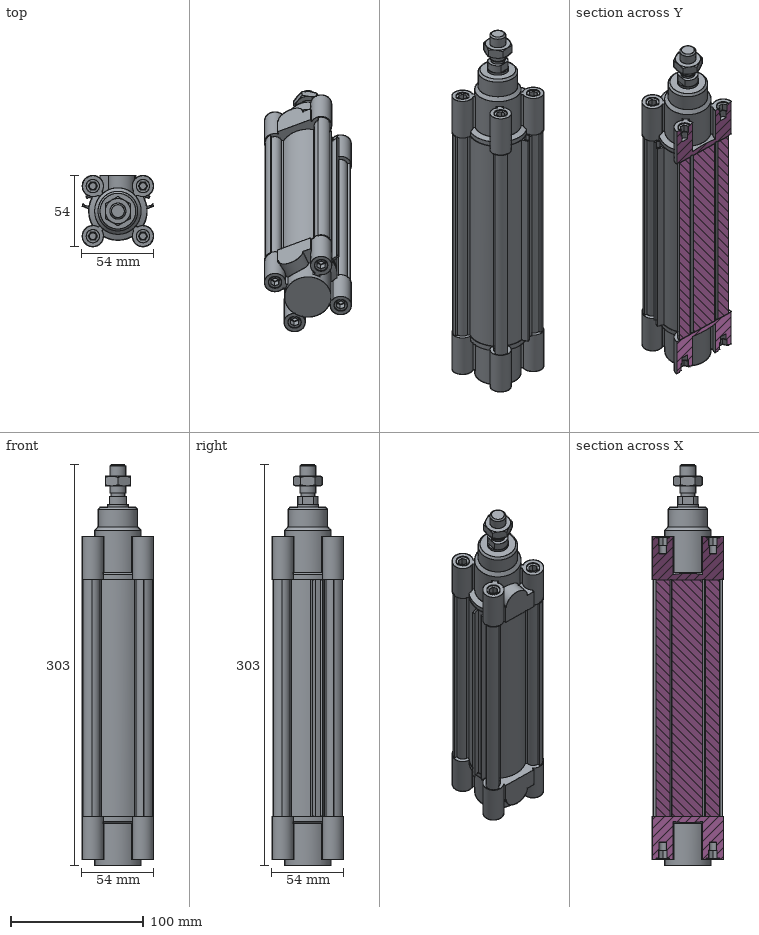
import cadquery as cq
import math

total_height = 303.0
width = 54.0
post_diameter = 16.0
post_offset = (width - post_diameter) / 2
post_axis_radius = post_offset * math.sqrt(2)

cover_length = 37.3
post_length = 32.7
boss_diameter = 35.0
flange_diameter = 44.2
flange_thickness = 4.0
flange_cone_height = 1.5
post_fillet_radius = 1.0

seat_diameter = 10.0
seat_depth = 1.0
socket_flats = 6.0
socket_depth = 6.0
screw_bore_diameter = 5.0
screw_bore_depth = 6.0

port_diameter = 20.0
port_offset = 2.7
port_axis_height = post_length / 2
port_foot_width = 27.3

collar_diameter = 30.0
collar_cone_height = 2.7
collar_length = 17.5
collar_chamfer_radial = 1.5
collar_chamfer_height = 1.8

barrel_bottom = cover_length
barrel_length = 178.8
barrel_top = barrel_bottom + barrel_length
barrel_diameter = 43.5
column_diameter = 10.5
cap_diameter = 14.8
cap_angle = 80.0
column_web_width = 8.0

rod_diameter = 16.0
rod_end_diameter = 15.5
rod_flats = 13.0
rod_end_bottom = 272.7
rod_shoulder = 279.0
neck_diameter = 10.5
neck_top = 281.5
thread_diameter = 12.0
thread_chamfer = 1.2

nut_flats = 19.0
nut_bottom = 287.0
nut_height = 7.3
nut_chamfer_angle = 30.0

corners = [(sx * post_offset, sy * post_offset) for sx in (-1, 1) for sy in (-1, 1)]


def cylinder(diameter, bottom, height):
    return cq.Workplane("XY").workplane(offset=bottom).circle(diameter / 2).extrude(height)


def make_post_joint():
    """Bridge along +X from the round boss to a post, with concave sides tangent to both."""
    reach_from_boss = boss_diameter / 2 + post_fillet_radius
    reach_from_post = post_diameter / 2 + post_fillet_radius
    fillet_x = (reach_from_boss**2 - reach_from_post**2 + post_axis_radius**2) / (2 * post_axis_radius)
    fillet_y = math.sqrt(reach_from_boss**2 - fillet_x**2)
    bridge = (
        cq.Workplane("XY")
        .box(post_axis_radius, 2 * fillet_y, post_length, centered=(False, True, False))
    )
    fillets = (
        cq.Workplane("XY")
        .pushPoints([(fillet_x, fillet_y), (fillet_x, -fillet_y)])
        .circle(post_fillet_radius)
        .extrude(post_length)
    )
    return bridge.cut(fillets)


def make_port_boss():
    """Round boss along Y on a flat-topped foot between the two +Y posts."""
    reach = width / 2
    foot = (
        cq.Workplane("XY")
        .box(port_foot_width, reach, port_axis_height, centered=(True, False, False))
    )
    boss = (
        cq.Workplane("XZ")
        .center(port_offset, port_axis_height)
        .circle(port_diameter / 2)
        .extrude(-reach)
    )
    return foot.union(boss)


def make_cover():
    """Cover with its seam at Z = 0, growing in +Z."""
    flange_radius = flange_diameter / 2
    boss_radius = boss_diameter / 2
    body = (
        cq.Workplane("XZ")
        .moveTo(0, 0)
        .lineTo(flange_radius, 0)
        .lineTo(flange_radius, flange_thickness)
        .lineTo(boss_radius, flange_thickness + flange_cone_height)
        .lineTo(boss_radius, cover_length)
        .lineTo(0, cover_length)
        .close()
        .revolve(360, (0, 0, 0), (0, 1, 0))
    )
    posts = cq.Workplane("XY").pushPoints(corners).circle(post_diameter / 2).extrude(post_length)
    seats = (
        cq.Workplane("XY")
        .workplane(offset=post_length - seat_depth)
        .pushPoints(corners)
        .circle(seat_diameter / 2)
        .extrude(seat_depth)
    )
    sockets = (
        cq.Workplane("XY")
        .workplane(offset=post_length - seat_depth - socket_depth)
        .pushPoints(corners)
        .polygon(6, socket_flats / math.cos(math.pi / 6))
        .extrude(socket_depth)
    )
    screw_bores = (
        cq.Workplane("XY")
        .workplane(offset=post_length - seat_depth - socket_depth - screw_bore_depth)
        .pushPoints(corners)
        .circle(screw_bore_diameter / 2)
        .extrude(screw_bore_depth)
    )
    cover = body.union(make_port_boss()).union(posts)
    post_joint = make_post_joint()
    for quarter in range(4):
        cover = cover.union(post_joint.rotate((0, 0, 0), (0, 0, 1), 45 + 90 * quarter))
    return cover.cut(seats).cut(sockets).cut(screw_bores)


def make_bottom_cover():
    return make_cover().mirror("XY").translate((0, 0, barrel_bottom))


def make_top_cover():
    boss_end = barrel_top + cover_length
    collar_end = boss_end + collar_length
    collar_radius = collar_diameter / 2
    collar = (
        cq.Workplane("XZ")
        .moveTo(0, boss_end)
        .lineTo(boss_diameter / 2, boss_end)
        .lineTo(collar_radius, boss_end + collar_cone_height)
        .lineTo(collar_radius, collar_end - collar_chamfer_height)
        .lineTo(collar_radius - collar_chamfer_radial, collar_end)
        .lineTo(0, collar_end)
        .close()
        .revolve(360, (0, 0, 0), (0, 1, 0))
    )
    rod_bore = cylinder(rod_diameter, barrel_top, collar_end - barrel_top)
    return make_cover().translate((0, 0, barrel_top)).union(collar).cut(rod_bore)


def make_diagonal_web(web_width, height):
    """Upright wall along the diagonal from the -X -Y corner axis to the +X +Y one."""
    wall = cq.Workplane("XY").box(2 * post_axis_radius, web_width, height, centered=(True, True, False))
    return wall.rotate((0, 0, 0), (0, 0, 1), 45)


def make_corner_column():
    """Column of the +X +Y corner: a round core and a wider sector on its outer side."""
    core = cylinder(column_diameter, 0, barrel_length)
    cap_radius = cap_diameter / 2
    half_angle = math.radians(cap_angle / 2)
    edge_x = cap_radius * math.cos(half_angle)
    edge_y = cap_radius * math.sin(half_angle)
    cap = (
        cq.Workplane("XY")
        .lineTo(edge_x, -edge_y)
        .threePointArc((cap_radius, 0), (edge_x, edge_y))
        .close()
        .extrude(barrel_length)
        .rotate((0, 0, 0), (0, 0, 1), 45)
    )
    return core.union(cap).translate((post_offset, post_offset, 0))


def make_sensor_rail():
    """Two hooked lips of the sensor slot on the +X side."""
    lower_lip = [(20.5, 1.8), (22.0, 1.8), (27.0, 3.5), (26.5, 5.8), (25.0, 4.2), (20.5, 3.5)]
    upper_lip = [(18.2, 9.0), (22.0, 10.3), (23.3, 9.5), (24.2, 11.2), (18.2, 12.5)]
    rail = cq.Workplane("XY").polyline(lower_lip).close().extrude(barrel_length)
    return rail.union(cq.Workplane("XY").polyline(upper_lip).close().extrude(barrel_length))


def make_barrel():
    barrel = cylinder(barrel_diameter, 0, barrel_length)
    web = make_diagonal_web(column_web_width, barrel_length)
    barrel = barrel.union(web).union(web.mirror("YZ"))
    corner_column = make_corner_column()
    for quarter in range(4):
        barrel = barrel.union(corner_column.rotate((0, 0, 0), (0, 0, 1), 90 * quarter))
    rail = make_sensor_rail()
    barrel = barrel.union(rail).union(rail.mirror("YZ"))
    return barrel.translate((0, 0, barrel_bottom))


def make_rod():
    shank = cylinder(rod_diameter, barrel_top, rod_end_bottom - barrel_top)
    end_length = rod_shoulder - rod_end_bottom
    across_flats = (
        cq.Workplane("XY")
        .workplane(offset=rod_end_bottom)
        .rect(rod_flats, rod_end_diameter)
        .extrude(end_length)
    )
    flatted_end = cylinder(rod_end_diameter, rod_end_bottom, end_length).intersect(across_flats)
    neck = cylinder(neck_diameter, rod_shoulder, neck_top - rod_shoulder)
    thread = cylinder(thread_diameter, neck_top, total_height - neck_top)
    thread = thread.faces(">Z").chamfer(thread_chamfer)
    return shank.union(flatted_end).union(neck).union(thread)


def make_nut():
    """Hexagon nut with corners on +Y and -Y, both ends chamfered by a cone."""
    corner_radius = nut_flats / math.sqrt(3)
    end_radius = nut_flats / 2
    drop = (corner_radius - end_radius) * math.tan(math.radians(nut_chamfer_angle))
    hexagon = (
        cq.Workplane("XY")
        .polygon(6, 2 * corner_radius)
        .extrude(nut_height)
        .rotate((0, 0, 0), (0, 0, 1), 30)
    )
    chamfer_envelope = (
        cq.Workplane("XZ")
        .moveTo(0, 0)
        .lineTo(end_radius, 0)
        .lineTo(corner_radius, drop)
        .lineTo(corner_radius, nut_height - drop)
        .lineTo(end_radius, nut_height)
        .lineTo(0, nut_height)
        .close()
        .revolve(360, (0, 0, 0), (0, 1, 0))
    )
    nut = hexagon.intersect(chamfer_envelope).cut(cylinder(thread_diameter, 0, nut_height))
    return nut.translate((0, 0, nut_bottom))


bottom_cover = make_bottom_cover()
barrel = make_barrel()
top_cover = make_top_cover()
rod = make_rod()
nut = make_nut()

result = cq.Compound.makeCompound(
    [bottom_cover.val(), barrel.val(), top_cover.val(), rod.val(), nut.val()]
)